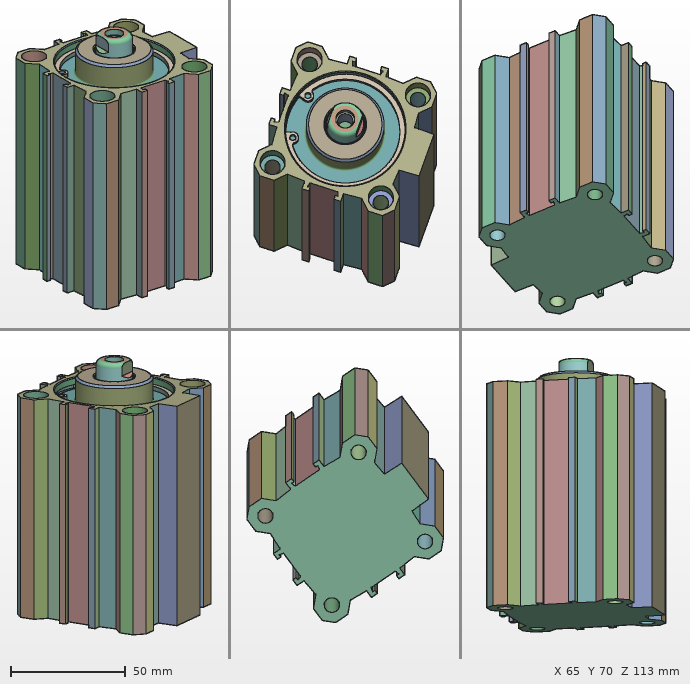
import cadquery as cq
import math

BARREL_HEIGHT = 99.4
BARREL_WIDTH = 65.0
BARREL_HALF = BARREL_WIDTH / 2
DEPTH_WITH_PORT = 70.0
CORNER_BEVEL = 4.2
CORNER_INNER = 21.7
WALL_AT_CORNER = 27.9
CORNER_STEP = CORNER_INNER - (BARREL_HALF - WALL_AT_CORNER)
WALL_AT_FIN = 28.5
PORT_FACE_Y = DEPTH_WITH_PORT - BARREL_HALF
PORT_ROOT_HALF = 10.4
PORT_FACE_HALF = 10.1
FIN_SIDE_ANGLES = (0, 180, 270)
FIN_TIP = 32.2
FIN_OUTER = 8.9
FIN_ROOT_INNER = 6.3
FIN_NECK_INNER = 7.0
FIN_LIP_INNER = 5.8
FIN_LIP_START = 30.4
BOLT_OFFSET = 25.0
BOLT_HOLE_DIAMETER = 6.7
BOLT_BORE_DIAMETER = 11.0
BOLT_BORE_DEPTH = 6.7

BORE_DIAMETER = 52.2
BORE_MOUTH_BEVEL = 0.5
GROOVE_DIAMETER = 55.1
RING_TOP = 96.2
RING_THICKNESS = 1.9
RING_BOTTOM = RING_TOP - RING_THICKNESS
BORE_BOTTOM = 79.1

BOSS_TOP = 105.5
COVER_DIAMETER = 51.8
BOSS_DIAMETER = 34.0
BOSS_BEVEL = 1.0
BOSS_ROOT_ROUND = 0.8
ROD_MOUTH_DIAMETER = 17.7
ROD_MOUTH_BEVEL = 0.5
ROD_PASSAGE_DIAMETER = 17.0
ROD_PASSAGE_TOP = 104.6

RING_INNER_DIAMETER = 47.7
EAR_X = 10.2
EAR_Y = -20.7
EAR_DIAMETER = 5.0
EAR_HOLE_DIAMETER = 2.7
EAR_ROUND = 1.1

ROD_TOP = 113.0
ROD_DIAMETER = 16.0
ROD_ROUND = 2.0
FLAT_HALF = 6.5
FLAT_BOTTOM = 107.5
THREAD_MOUTH_DIAMETER = 8.2
THREAD_DIAMETER = 6.7
THREAD_MOUTH_DEPTH = 2.7
THREAD_DEPTH = 13.6
THREAD_POINT_DEPTH = 0.5


def disc(diameter, bottom, top):
    return cq.Workplane("XY").workplane(offset=bottom).circle(diameter / 2).extrude(top - bottom)


def cone(bottom_diameter, top_diameter, bottom, top):
    return cq.Workplane(cq.Solid.makeCone(bottom_diameter / 2, top_diameter / 2, top - bottom,
                                          pnt=cq.Vector(0, 0, bottom)))


def core_outline():
    """Barrel section: one quarter, turned four times."""
    bevel_end = BARREL_HALF - CORNER_BEVEL
    quarter = [
        (WALL_AT_FIN, FIN_OUTER),
        (WALL_AT_CORNER, CORNER_STEP),
        (BARREL_HALF, CORNER_INNER),
        (BARREL_HALF, bevel_end),
        (bevel_end, BARREL_HALF),
        (CORNER_INNER, BARREL_HALF),
        (CORNER_STEP, WALL_AT_CORNER),
        (FIN_OUTER, WALL_AT_FIN),
    ]
    points = []
    for _ in range(4):
        points += quarter
        quarter = [(-y, x) for x, y in quarter]
    return points


def fin_pair():
    """Two full-length hooked fins on the +X side, facing each other across Y = 0."""
    profile = [
        (WALL_AT_CORNER, FIN_OUTER),
        (FIN_TIP, FIN_OUTER),
        (FIN_TIP, FIN_LIP_INNER),
        (FIN_LIP_START, FIN_LIP_INNER),
        (FIN_LIP_START, FIN_NECK_INNER),
        (WALL_AT_CORNER, FIN_ROOT_INNER),
    ]
    fin = cq.Workplane("XY").polyline(profile).close().extrude(BARREL_HEIGHT)
    return fin.union(fin.mirror("XZ"))


def make_housing():
    """Barrel with its port block, fins, bolt holes, and the bore with its ring groove."""
    body = cq.Workplane("XY").polyline(core_outline()).close().extrude(BARREL_HEIGHT)
    port = [
        (-PORT_ROOT_HALF, WALL_AT_CORNER),
        (PORT_ROOT_HALF, WALL_AT_CORNER),
        (PORT_FACE_HALF, PORT_FACE_Y),
        (-PORT_FACE_HALF, PORT_FACE_Y),
    ]
    body = body.union(cq.Workplane("XY").polyline(port).close().extrude(BARREL_HEIGHT))
    fins = fin_pair()
    for angle in FIN_SIDE_ANGLES:
        body = body.union(fins.rotate((0, 0, 0), (0, 0, 1), angle))
    body = (
        body.faces(">Z").workplane(origin=(0, 0, 0))
        .rect(2 * BOLT_OFFSET, 2 * BOLT_OFFSET, forConstruction=True).vertices()
        .cboreHole(BOLT_HOLE_DIAMETER, BOLT_BORE_DIAMETER, BOLT_BORE_DEPTH)
    )
    body = body.cut(disc(BORE_DIAMETER, BORE_BOTTOM, BARREL_HEIGHT))
    rim = BORE_DIAMETER + 2 * BORE_MOUTH_BEVEL
    body = body.cut(cone(BORE_DIAMETER, rim, BARREL_HEIGHT - BORE_MOUTH_BEVEL, BARREL_HEIGHT))
    return body.cut(disc(GROOVE_DIAMETER, RING_BOTTOM, RING_TOP))


def make_cover():
    """Plate in the bore with a raised boss that the rod passes through."""
    cover = disc(COVER_DIAMETER, BORE_BOTTOM, RING_BOTTOM).union(disc(BOSS_DIAMETER, RING_BOTTOM, BOSS_TOP))
    cover = cover.edges(cq.selectors.RadiusNthSelector(0)).edges("<Z").fillet(BOSS_ROOT_ROUND)
    cover = cover.faces(">Z").chamfer(BOSS_BEVEL)
    cover = cover.cut(disc(ROD_PASSAGE_DIAMETER, BORE_BOTTOM, BOSS_TOP))
    cover = cover.cut(disc(ROD_MOUTH_DIAMETER, ROD_PASSAGE_TOP, BOSS_TOP))
    rim = ROD_MOUTH_DIAMETER + 2 * ROD_MOUTH_BEVEL
    return cover.cut(cone(ROD_MOUTH_DIAMETER, rim, BOSS_TOP - ROD_MOUTH_BEVEL, BOSS_TOP))


def make_ring():
    """Open retaining ring with an eared end on each side of its gap."""
    ring = disc(GROOVE_DIAMETER, RING_BOTTOM, RING_TOP).cut(disc(RING_INNER_DIAMETER, RING_BOTTOM, RING_TOP))

    ear_radius = EAR_DIAMETER / 2
    ear_distance = math.hypot(EAR_X, EAR_Y)
    ear_angle = math.atan2(EAR_X, -EAR_Y)
    gap_angle = ear_angle - math.asin(ear_radius / ear_distance)
    gap_half = GROOVE_DIAMETER * math.tan(gap_angle)
    gap = [(0, 0), (-gap_half, -GROOVE_DIAMETER), (gap_half, -GROOVE_DIAMETER)]
    gap_plane = cq.Workplane("XY").workplane(offset=RING_BOTTOM)
    ring = ring.cut(gap_plane.polyline(gap).close().extrude(RING_THICKNESS))

    inner_radius = RING_INNER_DIAMETER / 2
    corner_cosine = (inner_radius**2 + ear_distance**2 - ear_radius**2) / (2 * inner_radius * ear_distance)
    corner_angle = ear_angle + math.acos(corner_cosine)
    corner_x = inner_radius * math.sin(corner_angle)
    corner_y = -inner_radius * math.cos(corner_angle)
    for side in (-1, 1):
        center = (side * EAR_X, EAR_Y, 0)
        corner = (side * corner_x, corner_y, RING_BOTTOM)
        ring = ring.union(disc(EAR_DIAMETER, RING_BOTTOM, RING_TOP).translate(center))
        ring = ring.edges("|Z").edges(cq.selectors.NearestToPointSelector(corner)).fillet(EAR_ROUND)
        ring = ring.cut(disc(EAR_HOLE_DIAMETER, RING_BOTTOM, RING_TOP).translate(center))
    return ring


def make_rod():
    """Rod with a rounded end, two wrench flats and a stepped hole."""
    rod = disc(ROD_DIAMETER, BORE_BOTTOM, ROD_TOP).faces(">Z").edges().fillet(ROD_ROUND)
    flat_run = ROD_DIAMETER / 2 - FLAT_HALF
    flat = [
        (FLAT_HALF, ROD_TOP),
        (FLAT_HALF, FLAT_BOTTOM),
        (FLAT_HALF + flat_run, FLAT_BOTTOM - flat_run),
        (FLAT_HALF + flat_run, ROD_TOP),
    ]
    flat_cutter = cq.Workplane("YZ").polyline(flat).close().extrude(ROD_DIAMETER / 2, both=True)
    rod = rod.cut(flat_cutter).cut(flat_cutter.mirror("XZ"))
    hole_bottom = ROD_TOP - THREAD_DEPTH
    rod = rod.cut(disc(THREAD_DIAMETER, hole_bottom, ROD_TOP))
    rod = rod.cut(cone(0, THREAD_DIAMETER, hole_bottom - THREAD_POINT_DEPTH, hole_bottom))
    return rod.cut(disc(THREAD_MOUTH_DIAMETER, ROD_TOP - THREAD_MOUTH_DEPTH, ROD_TOP))


housing = make_housing()
cover = make_cover()
ring = make_ring()
rod = make_rod()
result = cq.Compound.makeCompound([housing.val(), cover.val(), ring.val(), rod.val()])